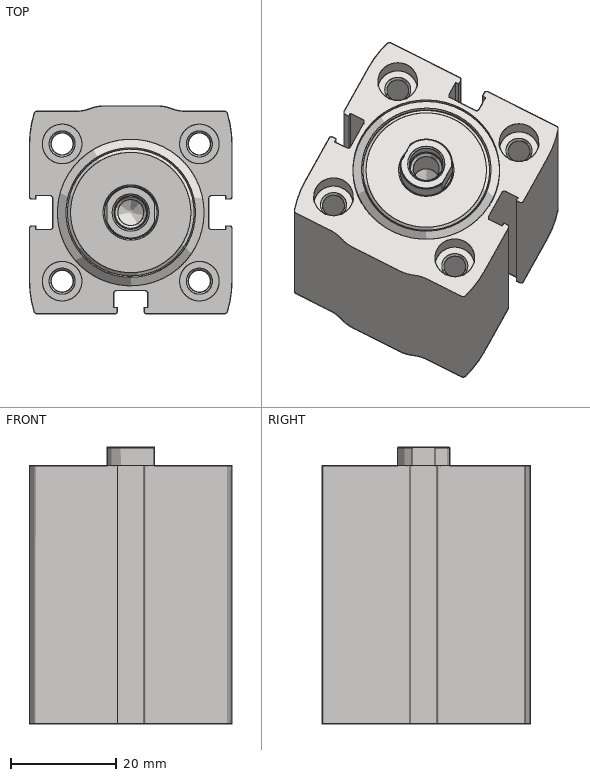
import cadquery as cq
import math

total_height = 52.5
body_height = 49.0
body_width = 38.5
half_width = body_width / 2
corner_half_width = 18.2
side_flat_half = 12.8
corner_radius = 0.65
pad_height = 39.5 - body_width
pad_top_half = 5.1
pad_foot_half = 10.35

slot_mouth = 5.1
slot_width = 6.4
slot_lip = 1.25
slot_depth = 4.4
slot_radius = 0.45

hole_pitch = 26.05
hole_diameter = 4.15
hole_bevel_diameter = 4.95
counterbore_diameter = 7.5
counterbore_depth = 5.0

moat_diameter = 27.8
moat_depth = 0.95
rim_diameter = 24.55
groove_diameter = 24.05
groove_depth = 0.65
cap_diameter = 22.85
cap_drop = 0.25
rod_bore_depth = 10.5
rod_bore_bevel = 0.25

rod_diameter = 10.0
rod_across_flats = 9.0
flat_end_depth = 1.05
flat_runout_angle = 30.0
rod_edge_chamfer = 0.15
thread_diameter = 4.95
thread_bevel = 0.5
thread_depth = 10.5
drill_tip_angle = 120.0
rod_counterbore_diameter = 6.4
rod_counterbore_depth = 2.6
rod_counterbore_bevel = 0.3


def turned(points):
    """Solid of revolution about the Z axis from an outline of (radius, height) points."""
    return cq.Workplane("XZ").polyline(points).close().revolve(360, (0, 0, 0), (0, 1, 0))


def make_block():
    """Square column whose flat ±X sides curve inward, tangentially, toward its corners."""
    inset = half_width - corner_half_width
    run = half_width - side_flat_half
    arc_radius = (inset**2 + run**2) / (2 * inset)
    half_angle = math.asin(run / arc_radius) / 2
    mid_x = half_width - arc_radius * (1 - math.cos(half_angle))
    mid_y = side_flat_half + arc_radius * math.sin(half_angle)
    block = (
        cq.Workplane("XY")
        .moveTo(-corner_half_width, -half_width)
        .lineTo(corner_half_width, -half_width)
        .threePointArc((mid_x, -mid_y), (half_width, -side_flat_half))
        .lineTo(half_width, side_flat_half)
        .threePointArc((mid_x, mid_y), (corner_half_width, half_width))
        .lineTo(-corner_half_width, half_width)
        .threePointArc((-mid_x, mid_y), (-half_width, side_flat_half))
        .lineTo(-half_width, -side_flat_half)
        .threePointArc((-mid_x, -mid_y), (-corner_half_width, -half_width))
        .close()
        .extrude(body_height)
    )
    return block.edges("|Z and (>Y or <Y)").fillet(corner_radius)


def make_pad():
    """Raised pad whose ends run out into the +Y face as S-curves of two tangent arcs."""
    top_y = half_width + pad_height
    middle = ((pad_foot_half + pad_top_half) / 2, half_width + pad_height / 2)
    return (
        cq.Workplane("XY")
        .moveTo(0, top_y)
        .lineTo(pad_top_half, top_y)
        .tangentArcPoint(middle, relative=False)
        .tangentArcPoint((pad_foot_half, half_width), relative=False)
        .lineTo(0, half_width)
        .mirrorY()
        .extrude(body_height)
    )


def make_t_slot():
    """Cutter for the T-slot in the -Y face, with a rounded entry and rounded back corners."""
    mouth_x = slot_mouth / 2
    entry_x = mouth_x + slot_radius
    arc_inset = slot_radius * (1 - math.sqrt(0.5))
    arc_y = -half_width + arc_inset
    lip_y = -half_width + slot_lip
    mouth = (
        cq.Workplane("XY")
        .moveTo(-entry_x, -half_width)
        .lineTo(entry_x, -half_width)
        .threePointArc((mouth_x + arc_inset, arc_y), (mouth_x, -half_width + slot_radius))
        .lineTo(mouth_x, lip_y)
        .lineTo(-mouth_x, lip_y)
        .lineTo(-mouth_x, -half_width + slot_radius)
        .threePointArc((-mouth_x - arc_inset, arc_y), (-entry_x, -half_width))
        .close()
        .extrude(body_height)
    )
    chamber = (
        cq.Workplane("XY")
        .box(slot_width, slot_depth - slot_lip, body_height, centered=(True, False, False))
        .edges("|Z and >Y")
        .fillet(slot_radius)
        .translate((0, lip_y, 0))
    )
    return mouth.union(chamber)


def make_mounting_hole():
    """Cutter for a through hole with a bevelled edge at the floor of its counterbore."""
    hole_r = hole_diameter / 2
    bevel_r = hole_bevel_diameter / 2
    counterbore_r = counterbore_diameter / 2
    floor = body_height - counterbore_depth
    return turned([
        (0, 0),
        (hole_r, 0),
        (hole_r, floor - (bevel_r - hole_r)),
        (bevel_r, floor),
        (counterbore_r, floor),
        (counterbore_r, body_height),
        (0, body_height),
    ])


def make_moat():
    """Cutter for the ring that slopes down outward from the rim to an upright outer wall."""
    return turned([
        (rim_diameter / 2, body_height),
        (moat_diameter / 2, body_height),
        (moat_diameter / 2, body_height - moat_depth),
    ])


def make_cap_recess():
    """Cutter that bevels the rim inward, then steps down to the cap with its sloped border."""
    groove_r = groove_diameter / 2
    rim_r = rim_diameter / 2
    face = body_height - cap_drop
    return turned([
        (0, body_height),
        (rim_r, body_height),
        (groove_r, body_height - (rim_r - groove_r)),
        (groove_r, body_height - groove_depth),
        (cap_diameter / 2, face),
        (0, face),
    ])


def make_rod_bore():
    """Cutter for the blind, bevelled bore that holds the rod."""
    face = body_height - cap_drop
    bore_r = rod_diameter / 2
    bottom = body_height - rod_bore_depth
    return turned([
        (0, bottom),
        (bore_r, bottom),
        (bore_r, face - rod_bore_bevel),
        (bore_r + rod_bore_bevel, face),
        (0, face),
    ])


def make_housing():
    body = make_block().union(make_pad())
    for angle in (-90, 0, 90):
        body = body.cut(make_t_slot().rotate((0, 0, 0), (0, 0, 1), angle))
    for x in (-hole_pitch / 2, hole_pitch / 2):
        for y in (-hole_pitch / 2, hole_pitch / 2):
            body = body.cut(make_mounting_hole().translate((x, y, 0)))
    return body.cut(make_moat()).cut(make_cap_recess()).cut(make_rod_bore())


def make_rod_flat():
    """Cutter for the +X flat, which runs out to the full diameter on a slope just inside the bore."""
    flat_x = rod_across_flats / 2
    cut_width = rod_diameter - rod_across_flats
    outer_x = flat_x + cut_width
    flat_end = body_height - flat_end_depth
    runout_drop = cut_width * math.tan(math.radians(flat_runout_angle))
    return (
        cq.Workplane("XZ")
        .polyline([
            (flat_x, flat_end),
            (outer_x, flat_end - runout_drop),
            (outer_x, total_height),
            (flat_x, total_height),
        ])
        .close()
        .extrude(rod_diameter / 2, both=True)
    )


def make_rod_hole():
    """Cutter for the threaded hole with a drill tip, bevelled mouth, counterbore and bevelled edge."""
    thread_r = thread_diameter / 2
    counterbore_r = rod_counterbore_diameter / 2
    tip_length = thread_r / math.tan(math.radians(drill_tip_angle / 2))
    thread_end = total_height - thread_depth
    seat = total_height - rod_counterbore_depth
    return turned([
        (0, thread_end - tip_length),
        (thread_r, thread_end),
        (thread_r, seat - thread_bevel),
        (thread_r + thread_bevel, seat),
        (counterbore_r, seat),
        (counterbore_r, total_height - rod_counterbore_bevel),
        (counterbore_r + rod_counterbore_bevel, total_height),
        (0, total_height),
    ])


def make_rod():
    bottom = body_height - rod_bore_depth
    rod = (
        cq.Workplane("XY")
        .workplane(offset=bottom)
        .circle(rod_diameter / 2)
        .extrude(total_height - bottom)
        .faces(">Z")
        .chamfer(rod_edge_chamfer)
    )
    flat = make_rod_flat()
    return rod.cut(flat).cut(flat.mirror("YZ")).cut(make_rod_hole())


housing = make_housing()
rod = make_rod()
result = cq.Compound.makeCompound([housing.val(), rod.val()])